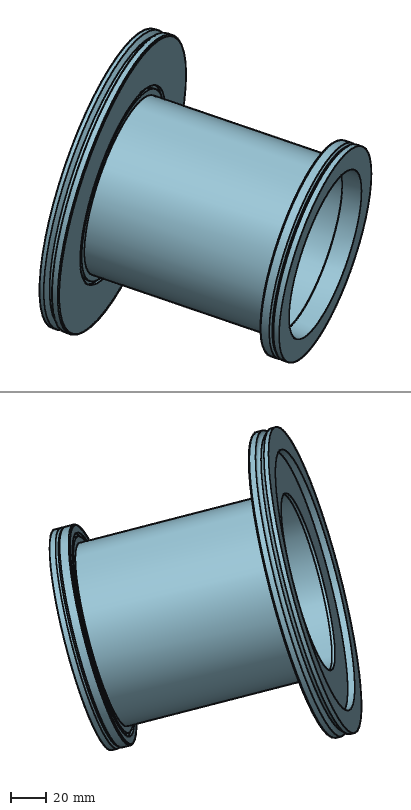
import cadquery as cq
import math

total_length = 138.0
flange_thickness = 12.0
edge_chamfer = 0.7
large_radius = 90.0
small_radius = 65.0

tube_outer_radius = 54.0
tube_inner_radius = 52.0
small_bore_radius = 51.0
recess_radius = 76.7
recess_depth = 4.1
tube_setback = 1.8

large_groove_start = 2.7
large_groove_depth = 2.5
small_groove_start = 6.0
small_groove_depth = 1.3

relief_inner_radius = 57.8
relief_width = 2.2
relief_depth = 1.8

tube_start = recess_depth + tube_setback
small_flange_start = total_length - flange_thickness


def ring(start, length, outer_radius, inner_radius=0.0):
    """Ring, or a disc when there is no inner radius, running along +X from start."""
    profile = cq.Workplane("YZ", origin=(start, 0, 0)).circle(outer_radius)
    if inner_radius > 0:
        profile = profile.circle(inner_radius)
    return profile.extrude(length)


def clamp_groove(start, depth, rim_radius):
    """Rim groove with a 45 degree wall on the -X side and a quarter-round wall on the +X side."""
    floor_radius = rim_radius - depth
    floor_x = start + depth
    end_x = floor_x + depth
    arc_middle = (
        floor_x + depth * math.sin(math.pi / 4),
        rim_radius - depth * math.cos(math.pi / 4),
    )
    return (
        cq.Workplane("XY")
        .moveTo(start, rim_radius)
        .lineTo(floor_x, floor_radius)
        .threePointArc(arc_middle, (end_x, rim_radius))
        .close()
        .revolve(360, (0, 0, 0), (1, 0, 0))
    )


def relief_groove(start):
    """Thin ring cut around the tube joint."""
    return ring(start, relief_depth, relief_inner_radius + relief_width, relief_inner_radius)


def make_large_flange():
    blank = ring(0, flange_thickness, large_radius).faces(">X").chamfer(edge_chamfer)
    recess = ring(0, recess_depth, recess_radius)
    bore = ring(0, flange_thickness, tube_inner_radius)
    tube_socket = ring(tube_start, flange_thickness - tube_start, tube_outer_radius)
    rim_groove = clamp_groove(large_groove_start, large_groove_depth, large_radius)
    relief = relief_groove(flange_thickness - relief_depth)
    return blank.cut(recess).cut(bore).cut(tube_socket).cut(rim_groove).cut(relief)


def make_tube():
    return ring(tube_start, small_flange_start - tube_start, tube_outer_radius, tube_inner_radius)


def make_small_flange():
    blank = ring(small_flange_start, flange_thickness, small_radius).faces("<X").chamfer(edge_chamfer)
    bore = ring(small_flange_start, flange_thickness, small_bore_radius)
    rim_groove = clamp_groove(small_flange_start + small_groove_start, small_groove_depth, small_radius)
    relief = relief_groove(small_flange_start)
    return blank.cut(bore).cut(rim_groove).cut(relief)


large_flange = make_large_flange()
tube = make_tube()
small_flange = make_small_flange()

result = cq.Compound.makeCompound([large_flange.val(), tube.val(), small_flange.val()])